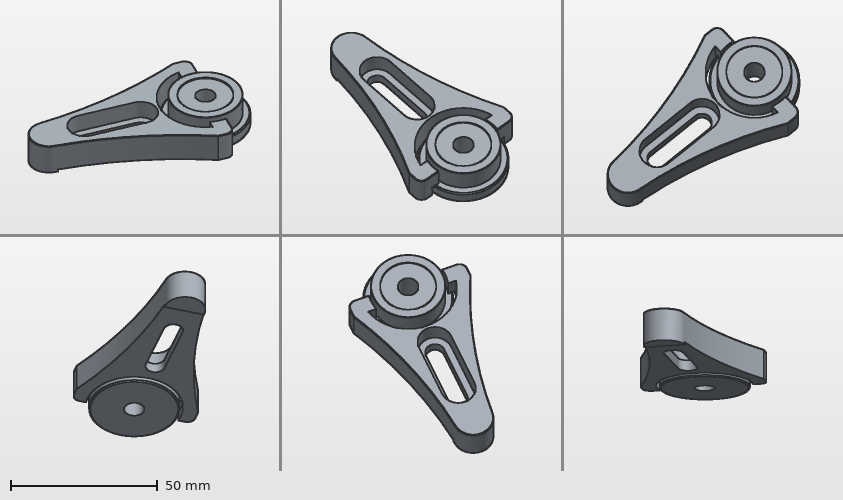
import cadquery as cq
import math

FLANGE_RADIUS = 15.4
FLANGE_HEIGHT = 4.6
FLANGE_CHAMFER = 0.5
HUB_RADIUS = 12.7
HUB_TOP = 12.5
HUB_CHAMFER = 0.15
FACE_RECESS_RADIUS = 9.55
FACE_RECESS_DEPTH = 0.5
BORE_RADIUS = 3.5

OVERALL_LENGTH = 79.5
ARM_WIDTH = 43.3
ARM_BOTTOM = 0.9
ARM_TOP = 11.3
ARM_EDGE_CHAMFER = 0.2
EAR_BACK_Y = 2.5
EAR_FRONT_Y = -3.6
EAR_CORNER_RADIUS = 2.9
TAIL_RADIUS = 7.0
TAIL_TAPER_ANGLE = 5.0
FOOT_BACK_Y = -56.45
FOOT_TOP = ARM_TOP / 2

FLANGE_POCKET_RADIUS = 16.6
HUB_POCKET_RADIUS = 13.75

SLOT_CENTER_Y = -33.8
SLOT_TRAVEL = 20.35
SLOT_WIDTH = 6.7
SLOT_RECESS_WIDTH = 11.9
SLOT_RECESS_DEPTH = 6.75

TAIL_TIP_Y = FLANGE_RADIUS - OVERALL_LENGTH
TAIL_CENTER_Y = TAIL_TIP_Y + TAIL_RADIUS


def cylinder(radius, bottom, top):
    return cq.Workplane("XY").workplane(offset=bottom).circle(radius).extrude(top - bottom)


def make_roller():
    """Flanged roller with a recessed top face and a through bore."""
    flange = cylinder(FLANGE_RADIUS, 0, FLANGE_HEIGHT).edges().chamfer(FLANGE_CHAMFER)
    hub = cylinder(HUB_RADIUS, 0, HUB_TOP).faces(">Z").edges().chamfer(HUB_CHAMFER)
    recess = cylinder(FACE_RECESS_RADIUS, HUB_TOP - FACE_RECESS_DEPTH, HUB_TOP)
    bore = cylinder(BORE_RADIUS, 0, HUB_TOP)
    return flange.union(hub).cut(recess).cut(bore)


def side_arc_middle(start, end, end_angle):
    """Middle point of the arc that reaches end at end_angle from the Y axis."""
    dx = start[0] - end[0]
    dy = start[1] - end[1]
    half_turn = math.atan2(dx, dy) - end_angle
    sagitta_ratio = math.tan(half_turn / 2) / 2
    return (
        (start[0] + end[0]) / 2 - dy * sagitta_ratio,
        (start[1] + end[1]) / 2 + dx * sagitta_ratio,
    )


def arm_outline(bottom):
    """Wide ears, concave sides and a round tail, starting at height bottom."""
    half_width = ARM_WIDTH / 2
    taper = math.radians(TAIL_TAPER_ANGLE)
    tail_x = TAIL_RADIUS * math.cos(taper)
    tail_y = TAIL_CENTER_Y - TAIL_RADIUS * math.sin(taper)
    side_x, side_y = side_arc_middle((half_width, EAR_FRONT_Y), (tail_x, tail_y), taper)
    return (
        cq.Workplane("XY").workplane(offset=bottom)
        .moveTo(-half_width, EAR_BACK_Y)
        .lineTo(half_width, EAR_BACK_Y)
        .lineTo(half_width, EAR_FRONT_Y)
        .threePointArc((side_x, side_y), (tail_x, tail_y))
        .threePointArc((0, TAIL_TIP_Y), (-tail_x, tail_y))
        .threePointArc((-side_x, side_y), (-half_width, EAR_FRONT_Y))
        .close()
    )


def arm_blank():
    """Solid arm with its foot, before the pockets and slots."""
    plate = arm_outline(ARM_BOTTOM).extrude(ARM_TOP - ARM_BOTTOM)
    plate = plate.edges("|Z and >Y").fillet(EAR_CORNER_RADIUS)
    plate = plate.faces(">Z").edges().chamfer(ARM_EDGE_CHAMFER)
    foot_length = FOOT_BACK_Y - TAIL_TIP_Y
    foot_area = (
        cq.Workplane("XY")
        .center(0, TAIL_TIP_Y + foot_length / 2)
        .rect(ARM_WIDTH, foot_length)
        .extrude(FOOT_TOP)
    )
    foot = arm_outline(0).extrude(FOOT_TOP).intersect(foot_area)
    return plate.union(foot)


def roller_pocket():
    """Clearance around the roller that leaves two ears above its flange."""
    flange_space = cylinder(FLANGE_POCKET_RADIUS, 0, FLANGE_HEIGHT)
    hub_space = cylinder(HUB_POCKET_RADIUS, 0, ARM_TOP)
    front_depth = FLANGE_POCKET_RADIUS + EAR_FRONT_Y
    front_area = (
        cq.Workplane("XY")
        .center(0, EAR_FRONT_Y - front_depth / 2)
        .rect(2 * FLANGE_POCKET_RADIUS, front_depth)
        .extrude(ARM_TOP)
    )
    front_space = cylinder(FLANGE_POCKET_RADIUS, 0, ARM_TOP).intersect(front_area)
    return flange_space.union(hub_space).union(front_space)


def slot(width, bottom):
    return (
        cq.Workplane("XY").workplane(offset=bottom)
        .center(0, SLOT_CENTER_Y)
        .slot2D(SLOT_TRAVEL + width, width, 90)
        .extrude(ARM_TOP - bottom)
    )


def make_arm():
    """Slotted arm that carries the roller between its ears."""
    return (
        arm_blank()
        .cut(roller_pocket())
        .cut(slot(SLOT_WIDTH, 0))
        .cut(slot(SLOT_RECESS_WIDTH, ARM_TOP - SLOT_RECESS_DEPTH))
    )


roller = make_roller()
arm = make_arm()
result = cq.Compound.makeCompound([roller.val(), arm.val()])